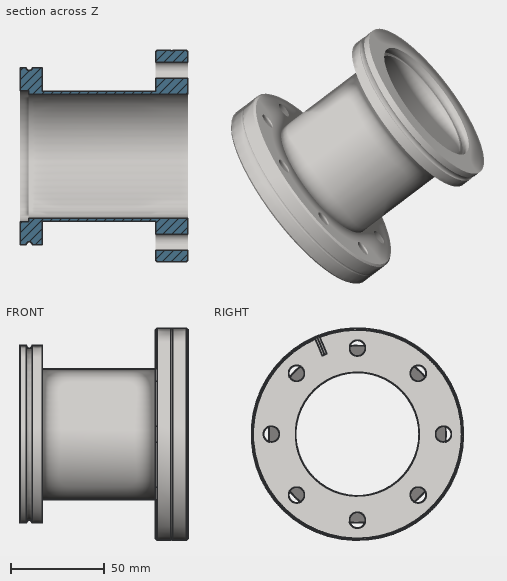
import cadquery as cq
total_length = 90.0

tube_diameter = 70.0
bore_diameter = 66.0
socket_depth = 4.5

clamp_diameter = 95.0
clamp_thickness = 12.0
clamp_groove_center = 5.0
clamp_groove_radius = 1.5

bolted_diameter = 113.5
bolted_thickness = 17.5
bolted_chamfer = 1.0
rim_groove_width = 1.3
rim_groove_depth = 0.2

bolt_count = 8
bolt_circle_diameter = 92.0
bolt_hole_diameter = 8.4

leak_groove_width = 2.6
leak_groove_depth = 0.85

bolted_start = total_length - bolted_thickness
bolt_pitch_angle = 360.0 / bolt_count
bolt_circle_radius = bolt_circle_diameter / 2


def disc(start, length, diameter):
    """Cylinder on the X axis, starting at X = start."""
    return cq.Workplane("YZ", origin=(start, 0, 0)).circle(diameter / 2).extrude(length)


def clamp_flange():
    """Disc whose rim carries a groove of half-round section."""
    rim = clamp_diameter / 2
    groove_start = clamp_groove_center - clamp_groove_radius
    groove_end = clamp_groove_center + clamp_groove_radius
    profile = (
        cq.Workplane("XY")
        .moveTo(0, 0)
        .lineTo(0, rim)
        .lineTo(groove_start, rim)
        .threePointArc((clamp_groove_center, rim - clamp_groove_radius), (groove_end, rim))
        .lineTo(clamp_thickness, rim)
        .lineTo(clamp_thickness, 0)
        .close()
    )
    return profile.revolve(360, (0, 0, 0), (1, 0, 0))


def bolted_flange():
    """Disc with chamfered edges and a shallow round groove around the middle of its rim."""
    rim = bolted_diameter / 2
    middle = bolted_start + bolted_thickness / 2
    profile = (
        cq.Workplane("XY")
        .moveTo(bolted_start, 0)
        .lineTo(bolted_start, rim - bolted_chamfer)
        .lineTo(bolted_start + bolted_chamfer, rim)
        .lineTo(middle - rim_groove_width / 2, rim)
        .threePointArc((middle, rim - rim_groove_depth), (middle + rim_groove_width / 2, rim))
        .lineTo(total_length - bolted_chamfer, rim)
        .lineTo(total_length, rim - bolted_chamfer)
        .lineTo(total_length, 0)
        .close()
    )
    return profile.revolve(360, (0, 0, 0), (1, 0, 0))


def bolt_holes():
    """Through holes on the bolt circle, the first one on the Y axis."""
    return (
        cq.Workplane("YZ", origin=(bolted_start, 0, 0))
        .polarArray(bolt_circle_radius, 0, 360, bolt_count)
        .circle(bolt_hole_diameter / 2)
        .extrude(bolted_thickness)
    )


def leak_check_groove():
    """Radial V groove from the bolt circle out through the chamfered edge."""
    reach = bolted_diameter / 2 - bolt_circle_radius
    half_width = leak_groove_width / 2
    groove = (
        cq.Workplane("XY", origin=(total_length, 0, bolt_circle_radius))
        .moveTo(0, -half_width)
        .lineTo(-leak_groove_depth, 0)
        .lineTo(0, half_width)
        .close()
        .extrude(reach)
    )
    return groove.rotate((0, 0, 0), (1, 0, 0), bolt_pitch_angle / 2)


tube = disc(0, total_length, tube_diameter)
bore = disc(0, total_length, bore_diameter)
socket = disc(0, socket_depth, tube_diameter)

body = tube.union(clamp_flange()).union(bolted_flange())
result = body.cut(bore).cut(socket).cut(bolt_holes()).cut(leak_check_groove())